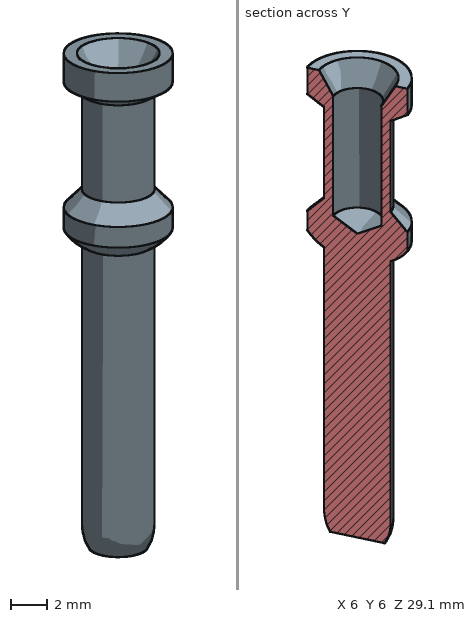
import cadquery as cq
import math

pin_length = 29.1
collar_diameter = 6.0
shank_diameter = 4.0
collar_radius = collar_diameter / 2
shank_radius = shank_diameter / 2

tip_radius = 1.63
tip_height = 1.22

middle_collar_bottom = 17.93
middle_underside_height = 0.87
middle_underside_bulge = 0.1
middle_band_height = 1.22
middle_shoulder_height = 1.05

top_band_height = 1.7
top_underside_height = 0.6

mouth_radius = 2.27
socket_radius = 1.43
mouth_depth = 1.45
socket_depth = 9.02
drill_point_angle = 120.0


def make_body():
    """Revolve the outer half profile of the pin about Z."""
    middle_band_bottom = middle_collar_bottom + middle_underside_height
    middle_band_top = middle_band_bottom + middle_band_height
    stem_bottom = middle_band_top + middle_shoulder_height
    top_band_bottom = pin_length - top_band_height
    stem_top = top_band_bottom - top_underside_height

    tip_inset = shank_radius - tip_radius
    tip_arc_radius = (tip_height**2 + tip_inset**2) / (2 * tip_inset)

    profile = (
        cq.Workplane("XZ")
        .moveTo(0, pin_length)
        .lineTo(0, 0)
        .lineTo(tip_radius, 0)
        .radiusArc((shank_radius, tip_height), -tip_arc_radius)
        .lineTo(shank_radius, middle_collar_bottom)
        .sagittaArc((collar_radius, middle_band_bottom), -middle_underside_bulge)
        .lineTo(collar_radius, middle_band_top)
        .lineTo(shank_radius, stem_bottom)
        .lineTo(shank_radius, stem_top)
        .lineTo(collar_radius, top_band_bottom)
        .lineTo(collar_radius, pin_length)
        .close()
    )
    return profile.revolve(360, (0, 0, 0), (0, 1, 0))


def make_socket():
    """Revolve the half profile of the material removed from the top end."""
    socket_floor_z = pin_length - socket_depth
    point_depth = socket_radius / math.tan(math.radians(drill_point_angle / 2))
    return (
        cq.Workplane("XZ")
        .moveTo(0, pin_length)
        .lineTo(mouth_radius, pin_length)
        .lineTo(socket_radius, pin_length - mouth_depth)
        .lineTo(socket_radius, socket_floor_z)
        .lineTo(0, socket_floor_z - point_depth)
        .close()
        .revolve(360, (0, 0, 0), (0, 1, 0))
    )


result = make_body().cut(make_socket())